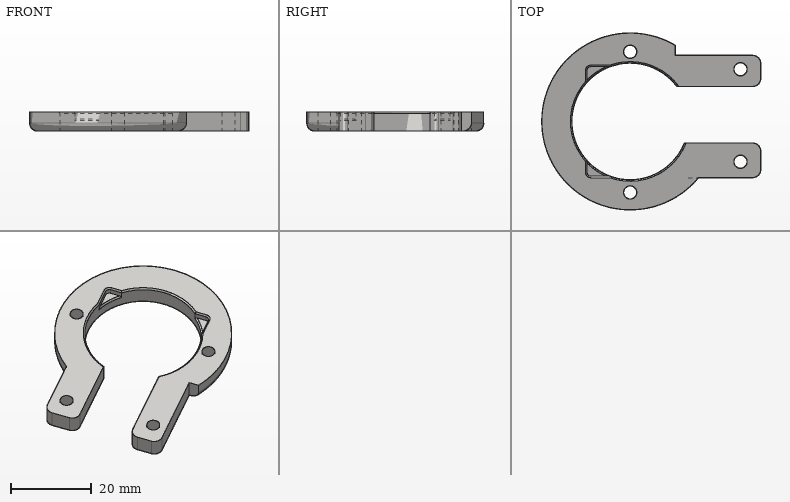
import cadquery as cq

thickness = 4.8
ring_radius = 22.0
bore_radius = 14.5
rim_fillet = 1.95
edge_chamfer = 0.4

overall_length = 54.45
arm_end_x = overall_length - ring_radius
upper_arm_y = (8.65, 16.45)
lower_arm_y = (-14.0, -5.35)
arm_corner_radius = 2.05
arm_root_x = 11.2

recess_left_x = -11.1
recess_half_width = 14.0
recess_depth = 1.75
recess_corner_radius = 1.35

hole_diameter = 3.2
hole_centers = [(0, 17.3), (0, -17.65), (27.4, 12.95), (27.4, -10.0)]


def block(x_range, y_range):
    """Full-thickness block resting on Z = 0."""
    length = x_range[1] - x_range[0]
    width = y_range[1] - y_range[0]
    return (
        cq.Workplane("XY")
        .box(length, width, thickness, centered=False)
        .translate((x_range[0], y_range[0], 0))
    )


def make_ring():
    """Solid disc with a rounded lower rim, cut away for the arm step and the gap."""
    disc = cq.Workplane("XY").circle(ring_radius).extrude(thickness)
    disc = disc.faces("<Z").edges().fillet(rim_fillet)
    above_upper_arm = block((arm_root_x, ring_radius), (upper_arm_y[1], ring_radius))
    gap = block((0, ring_radius), (lower_arm_y[1], upper_arm_y[0]))
    return disc.cut(above_upper_arm).cut(gap)


def make_arm(y_range):
    """Straight arm with rounded corners at its free end."""
    arm = block((arm_root_x, arm_end_x), y_range)
    return arm.edges("|Z and >X").fillet(arm_corner_radius)


def bore_chamfer(top_z):
    """Cone that bevels the bore edge of a level face at height top_z."""
    return cq.Workplane(
        cq.Solid.makeCone(
            bore_radius,
            bore_radius + edge_chamfer,
            edge_chamfer,
            pnt=cq.Vector(0, 0, top_z - edge_chamfer),
        )
    )


def recess_outline(z):
    """Rounded outline of the recess below its bevel, placed at height z."""
    length = -recess_left_x - 2 * edge_chamfer
    width = 2 * (recess_half_width - edge_chamfer)
    corner_radius = recess_corner_radius - edge_chamfer
    sketch = cq.Sketch().rect(length, width).vertices().fillet(corner_radius)
    return cq.Workplane("XY", origin=(recess_left_x / 2, 0, z)).placeSketch(sketch)


def make_recess():
    """Pocket with a 45 degree bevel on its top edge and on the bore edge of its floor."""
    floor_z = thickness - recess_depth
    pocket = recess_outline(floor_z).extrude(recess_depth)
    top_bevel = recess_outline(thickness - edge_chamfer).extrude(edge_chamfer, taper=-45)
    footprint = recess_outline(0).extrude(thickness)
    floor_bevel = bore_chamfer(floor_z).intersect(footprint)
    return pocket.union(top_bevel).union(floor_bevel)


bore = cq.Workplane("XY").circle(bore_radius).extrude(thickness)
holes = cq.Workplane("XY").pushPoints(hole_centers).circle(hole_diameter / 2).extrude(thickness)

result = make_ring().union(make_arm(upper_arm_y)).union(make_arm(lower_arm_y))
result = result.cut(bore).cut(bore_chamfer(thickness))
result = result.cut(make_recess())
result = result.cut(holes)